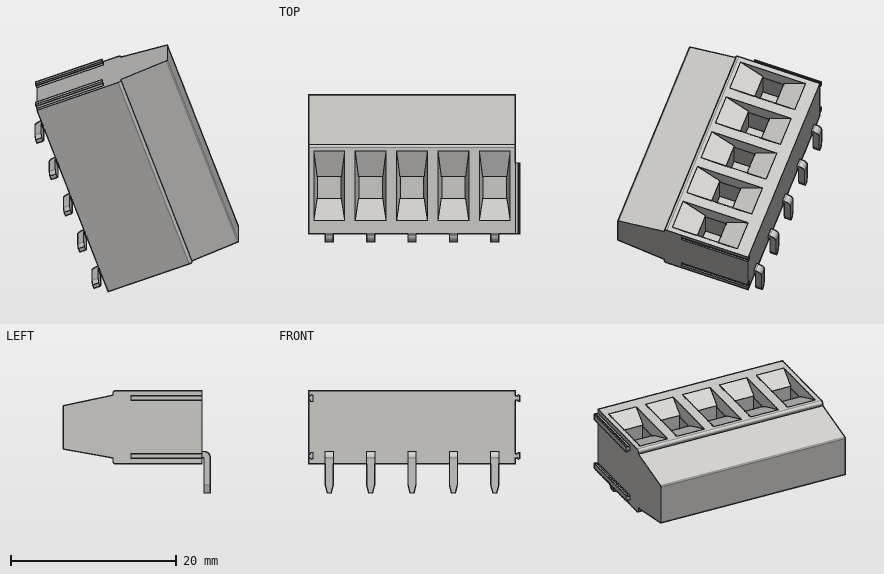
import cadquery as cq

pole_count = 5
overall_width = 25.55
rail_projection = 0.54
body_width = overall_width - rail_projection
pitch = body_width / pole_count
body_depth = 16.8
body_height = 8.87

step_y = 10.8
top_step_drop = 0.54
bottom_step_rise = 0.72
back_top_drop = 1.81
back_bottom_rise = 1.8
step_fillet = 0.35
back_fillet = 0.15

mouth_width = 3.73
mouth_front_y = 1.6
mouth_back_y = 10.0
well_width = 2.8
well_front_y = 4.25
well_back_y = 6.95
side_taper_depth = 1.23
end_taper_depth = 1.05
well_depth = 5.1

pin_width = 1.0
pin_thickness = 0.8
pin_gap = 0.2
pin_top_z = 1.53
pin_bottom_z = -3.53
pin_tip_width = 0.49
pin_tip_height = 1.0

rail_length = 8.58
upper_rail_z = 7.97
lower_rail_z = 0.97
neck_height = 0.45
neck_flare = 0.08
head_height = 0.82
rail_neck_length = 0.28
groove_neck_length = 0.2
head_ridge_x = 0.35
ridge_drop = 0.1


def make_body():
    """Block with a tapered back, extruded along the row of poles."""
    outline = [
        (0, 0),
        (step_y, 0),
        (step_y, bottom_step_rise),
        (body_depth, back_bottom_rise),
        (body_depth, body_height - back_top_drop),
        (step_y, body_height - top_step_drop),
        (step_y, body_height),
        (0, body_height),
    ]
    body = cq.Workplane("YZ").polyline(outline).close().extrude(body_width)
    for z in (0, body_height):
        step_edge = cq.selectors.NearestToPointSelector((body_width / 2, step_y, z))
        body = body.edges(step_edge).fillet(step_fillet)
    return body.faces(">Y").edges("|X").fillet(back_fillet)


def funnel_profile(plane, mouth_low, mouth_high, well_low, well_high, taper_depth):
    """Outline of the wire entry on an upright plane: a taper above a straight well."""
    mouth_z = body_height
    taper_end_z = body_height - taper_depth
    floor_z = body_height - well_depth
    return (
        plane.polyline([
            (mouth_low, mouth_z),
            (well_low, taper_end_z),
            (well_low, floor_z),
            (well_high, floor_z),
            (well_high, taper_end_z),
            (mouth_high, mouth_z),
        ])
        .close()
    )


def make_funnel(center_x):
    """Cutter for one wire entry: where its side-to-side and front-to-back profiles overlap."""
    across_x = funnel_profile(
        cq.Workplane("XZ", origin=(center_x, 0, 0)),
        -mouth_width / 2, mouth_width / 2, -well_width / 2, well_width / 2, side_taper_depth,
    ).extrude(-body_depth)
    across_y = funnel_profile(
        cq.Workplane("YZ", origin=(center_x, 0, 0)),
        mouth_front_y, mouth_back_y, well_front_y, well_back_y, end_taper_depth,
    ).extrude(mouth_width / 2, both=True)
    return across_x.intersect(across_y)


def make_pin(center_x):
    """Flat pin leaving the front face, bent downwards, with a tapered tip."""
    outer_y = -pin_gap - pin_thickness
    bend_z = pin_top_z - pin_thickness
    strip = (
        cq.Workplane("YZ", origin=(center_x, 0, 0))
        .moveTo(0, pin_top_z)
        .lineTo(-pin_gap, pin_top_z)
        .radiusArc((outer_y, bend_z), -pin_thickness)
        .lineTo(outer_y, pin_bottom_z)
        .lineTo(-pin_gap, pin_bottom_z)
        .lineTo(-pin_gap, bend_z)
        .lineTo(0, bend_z)
        .close()
        .extrude(pin_width / 2, both=True)
    )
    tip_start_z = pin_bottom_z + pin_tip_height
    silhouette = (
        cq.Workplane("XZ", origin=(center_x, 0, 0))
        .polyline([
            (-pin_width / 2, pin_top_z),
            (-pin_width / 2, tip_start_z),
            (-pin_tip_width / 2, pin_bottom_z),
            (pin_tip_width / 2, pin_bottom_z),
            (pin_width / 2, tip_start_z),
            (pin_width / 2, pin_top_z),
        ])
        .close()
        .extrude(-outer_y)
    )
    return strip.intersect(silhouette)


def make_tee(base_x, center_z, outward, neck_length):
    """T-section bar pointing to +X; outward (+1 or -1) is the Z side of the ridged head face."""
    neck = neck_height / 2
    root = neck + neck_flare
    head = head_height / 2
    shoulder = head - ridge_drop
    tip = rail_projection
    section = [
        (0, -root),
        (neck_length, -neck),
        (neck_length, -head),
        (tip, -head),
        (tip, shoulder),
        (head_ridge_x, head),
        (neck_length, shoulder),
        (neck_length, neck),
        (0, root),
    ]
    points = [(base_x + x, center_z + outward * z) for x, z in section]
    return cq.Workplane("XZ").polyline(points).close().extrude(-rail_length)


result = make_body()

for pole in range(pole_count):
    pole_x = (pole + 0.5) * pitch
    result = result.cut(make_funnel(pole_x))
    result = result.union(make_pin(pole_x))

for rail_z, outward in ((upper_rail_z, 1), (lower_rail_z, -1)):
    result = result.cut(make_tee(0, rail_z, outward, groove_neck_length))
    result = result.union(make_tee(body_width, rail_z, outward, rail_neck_length))